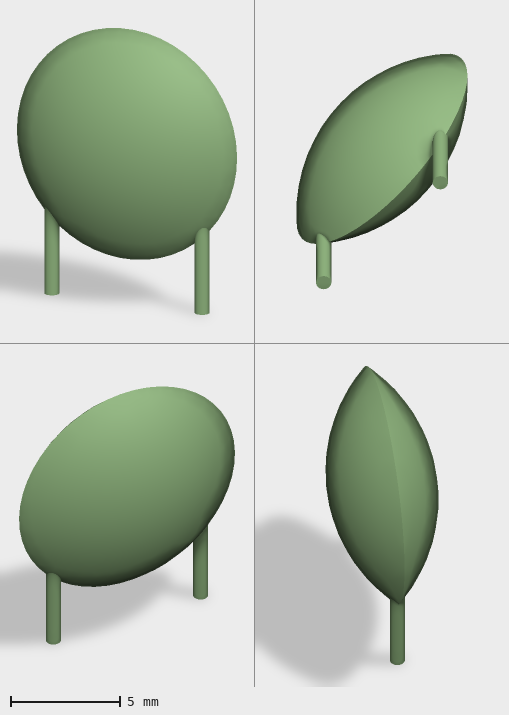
import cadquery as cq

body_diameter = 11.0
body_thickness = 5.0
overall_height = 13.09
lead_diameter = 0.7
lead_spacing = 7.5

body_radius = body_diameter / 2
half_thickness = body_thickness / 2
cap_radius = (body_radius**2 + half_thickness**2) / (2 * half_thickness)
lead_bottom = body_radius - overall_height


def make_ball(y):
    """Full ball whose surface forms one face of the body."""
    return cq.Workplane("XY").sphere(cap_radius).translate((0, y, 0))


def make_body():
    """Sharp-rimmed lens, centred on the origin with its axis along Y: the overlap of two balls."""
    centre_offset = cap_radius - half_thickness
    return make_ball(centre_offset).intersect(make_ball(-centre_offset))


def make_lead(x):
    """Straight round wire rising from the bottom plane to the mid-height of the body."""
    return (
        cq.Workplane("XY", origin=(x, 0, lead_bottom))
        .circle(lead_diameter / 2)
        .extrude(-lead_bottom)
    )


result = make_body()
for side in (-1, 1):
    result = result.union(make_lead(side * lead_spacing / 2))